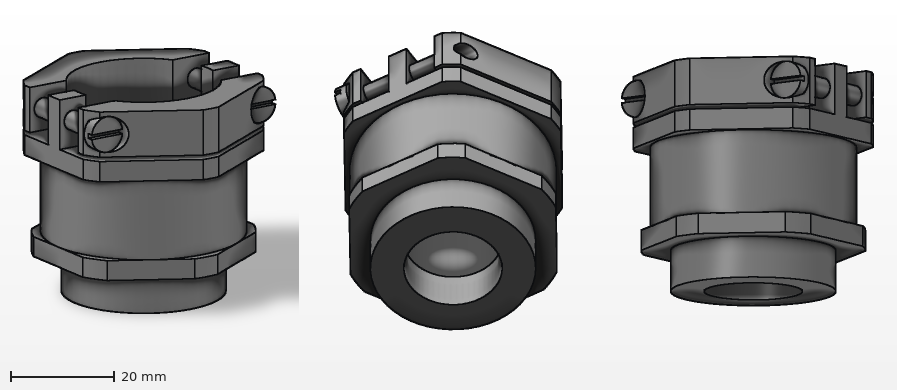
import cadquery as cq
import math

stub_height = 8.0
lower_hex_height = 4.0
body_height = 16.2
flange_height = 4.1
clamp_gap = 0.9
clamp_height = 9.1

stub_diameter = 32.0
body_diameter = 39.95
lower_hex_flats = 39.95
lower_hex_corners = 43.4
upper_hex_flats = 41.92
upper_hex_corners = 46.5

through_bore_diameter = 19.0
seat_bore_diameter = 30.0

clamp_opening = 16.65
post_width = 4.0

screw_diameter = 4.0
screw_offset = 17.9
screw_length = 20.0
head_diameter = 7.2
head_height = 2.55
head_seat_x = 11.25
slot_width = 0.95
slot_depth = 1.2

lower_hex_z = stub_height
body_z = lower_hex_z + lower_hex_height
flange_z = body_z + body_height
flange_top_z = flange_z + flange_height
clamp_z = flange_top_z + clamp_gap
top_z = clamp_z + clamp_height
screw_z = clamp_z + clamp_height / 2
screw_tip_x = head_seat_x - screw_length
head_top_x = head_seat_x + head_height
reach = upper_hex_corners / 2


def cylinder(diameter, bottom_z, height):
    return cq.Workplane("XY").workplane(offset=bottom_z).circle(diameter / 2).extrude(height)


def rounded_hexagon(flats, corners, bottom_z, height):
    """Hexagon with flats facing +Y and -Y, its corners turned down to a circle."""
    sharp_corners = flats / math.cos(math.pi / 6)
    hexagon = cq.Workplane("XY").workplane(offset=bottom_z).polygon(6, sharp_corners).extrude(height)
    return hexagon.intersect(cylinder(corners, bottom_z, height))


def rod(diameter, start_x, end_x, y):
    """Cylinder along X on a screw axis."""
    plane = cq.Workplane("YZ", origin=(start_x, y, screw_z))
    return plane.circle(diameter / 2).extrude(end_x - start_x)


def upright_block(width, bottom_z, height):
    """Block across the part in Y, centred on X."""
    block = cq.Workplane("XY").box(width, 2 * reach, height, centered=(True, True, False))
    return block.translate((0, 0, bottom_z))


def make_gland():
    stub = cylinder(stub_diameter, 0, stub_height)
    lower_hex = rounded_hexagon(lower_hex_flats, lower_hex_corners, lower_hex_z, lower_hex_height)
    body = cylinder(body_diameter, body_z, body_height)
    flange = rounded_hexagon(upper_hex_flats, upper_hex_corners, flange_z, flange_height)
    return stub.union(lower_hex).union(body).union(flange)


def make_clamp():
    """Two jaws left by opening a hexagon ring on both flats facing Y."""
    ring = rounded_hexagon(upper_hex_flats, upper_hex_corners, clamp_z, clamp_height)
    return ring.cut(upright_block(clamp_opening, clamp_z, clamp_height))


def make_posts():
    height = top_z - flange_top_z
    outline = rounded_hexagon(upper_hex_flats, upper_hex_corners, flange_top_z, height)
    return outline.intersect(upright_block(post_width, flange_top_z, height))


def make_screw(y):
    """Cheese-head screw with a slot along Y."""
    shank = rod(screw_diameter, screw_tip_x, head_seat_x, y)
    head = rod(head_diameter, head_seat_x, head_top_x, y)
    slot = cq.Workplane("XY").box(slot_depth, head_diameter, slot_width)
    slot = slot.translate((head_top_x - slot_depth / 2, y, screw_z))
    return shank.union(head.cut(slot))


part = make_gland().union(make_clamp()).union(make_posts())

part = part.cut(cylinder(through_bore_diameter, 0, top_z))
part = part.cut(cylinder(seat_bore_diameter, stub_height, top_z - stub_height))

for screw_y in (-screw_offset, screw_offset):
    part = part.cut(rod(screw_diameter, -reach, screw_tip_x, screw_y))
    part = part.cut(rod(head_diameter, head_seat_x, reach, screw_y))
    part = part.union(make_screw(screw_y))

result = part